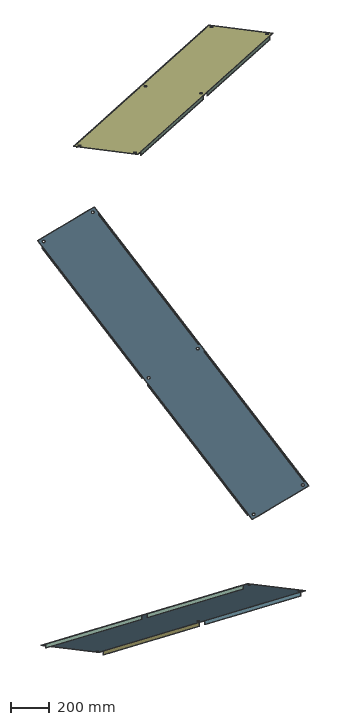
import cadquery as cq

length = 1981.0
width = 355.0
height = 22.0
thickness = 2.0

end_relief = 44.0
middle_gap = 53.0
flange_length = (length - 2 * end_relief - middle_gap) / 2
flange_offset = (middle_gap + flange_length) / 2

hole_diameter = 14.3
hole_side_margin = 24.0
hole_end_margin = 22.0
hole_x = width / 2 - hole_side_margin
hole_y = length / 2 - hole_end_margin


def make_panel():
    """Flat sheet with its top face at Z = 0."""
    return cq.Workplane("XY").rect(width, length).extrude(-thickness)


def make_flange(side, end):
    """Downturned strip on one long edge, on one half of the panel."""
    strip = cq.Workplane("XY").box(thickness, flange_length, height)
    return strip.translate((side * (width - thickness) / 2, end * flange_offset, -height / 2))


def make_holes():
    """Cutters for the corner and mid-length mounting holes."""
    centers = [(x, y) for x in (-hole_x, hole_x) for y in (-hole_y, 0, hole_y)]
    return cq.Workplane("XY").pushPoints(centers).circle(hole_diameter / 2).extrude(-thickness)


result = make_panel()
for side in (-1, 1):
    for end in (-1, 1):
        result = result.union(make_flange(side, end))
result = result.cut(make_holes())